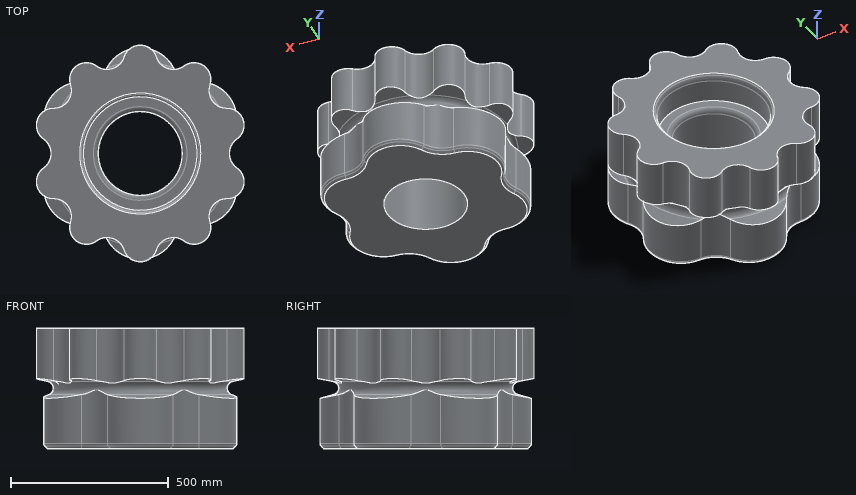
import cadquery as cq
import math

HEIGHT = 381.0
NECK_Z = 192.0

UPPER_LOBES = 10
UPPER_TIP_RADIUS = 343.0
UPPER_LOBE_ROUND = 53.5
UPPER_VALLEY_RADIUS = 282.5
LOWER_LOBES = 6
LOWER_TIP_RADIUS = 335.0
LOWER_LOBE_ROUND = 119.0
LOWER_VALLEY_RADIUS = 276.5
BOTTOM_CHAMFER = 12.0
BOTTOM_ROUND = 12.0

GROOVE_ROUND = 20.5
GROOVE_ROOT_RADIUS = 276.0
GROOVE_TOP_ANGLE = 11.0
GROOVE_BOTTOM_ANGLE = 16.0
CUTTER_CLEARANCE = 34.0
CUTTER_RADIUS = UPPER_TIP_RADIUS + CUTTER_CLEARANCE

BORE_RADIUS = 132.5
BORE_ROUND = 16.0
COUNTERBORE_RADIUS = 180.0
COUNTERBORE_DEPTH = 101.5
RIM_CHAMFER = 5.0
RIM_ROUND = 24.0


def polar(radius, angle):
    return (radius * math.cos(angle), radius * math.sin(angle))


def lobed_prism(lobes, tip_radius, lobe_round, valley_radius, bottom, top):
    """Extrude a ring of lobe arcs joined by tangent valley arcs; one lobe points along +Y."""
    half_pitch = math.pi / lobes
    lobe_center = tip_radius - lobe_round
    along = lobe_center * math.cos(half_pitch)
    across = lobe_center * math.sin(half_pitch)
    gap = valley_radius - along
    valley_round = (gap**2 + across**2 - lobe_round**2) / (2 * (lobe_round - gap))
    valley_center = valley_radius + valley_round
    share = lobe_round / (lobe_round + valley_round)
    tangent_x = along + share * (valley_center - along)
    tangent_y = across * (1 - share)
    tangent_radius = math.hypot(tangent_x, tangent_y)
    tangent_offset = half_pitch - math.atan2(tangent_y, tangent_x)

    first = math.pi / 2
    outline = cq.Workplane("XY").workplane(offset=bottom)
    outline = outline.moveTo(*polar(tangent_radius, first - tangent_offset))
    for index in range(lobes):
        middle = first + 2 * half_pitch * index
        following = middle + 2 * half_pitch
        outline = outline.threePointArc(
            polar(tip_radius, middle),
            polar(tangent_radius, middle + tangent_offset),
        )
        outline = outline.threePointArc(
            polar(valley_radius, middle + half_pitch),
            polar(tangent_radius, following - tangent_offset),
        )
    return outline.close().extrude(top - bottom)


def waist_groove():
    """Revolved cutter: a round root opening outward along two sloping flanks."""
    center_x = GROOVE_ROOT_RADIUS + GROOVE_ROUND
    top_angle = math.radians(GROOVE_TOP_ANGLE)
    bottom_angle = math.radians(GROOVE_BOTTOM_ANGLE)
    top_x = center_x - GROOVE_ROUND * math.sin(top_angle)
    top_z = NECK_Z + GROOVE_ROUND * math.cos(top_angle)
    bottom_x = center_x - GROOVE_ROUND * math.sin(bottom_angle)
    bottom_z = NECK_Z - GROOVE_ROUND * math.cos(bottom_angle)
    outer_top_z = top_z + (CUTTER_RADIUS - top_x) * math.tan(top_angle)
    outer_bottom_z = bottom_z - (CUTTER_RADIUS - bottom_x) * math.tan(bottom_angle)
    return (
        cq.Workplane("XZ")
        .moveTo(CUTTER_RADIUS, outer_top_z)
        .lineTo(top_x, top_z)
        .threePointArc((GROOVE_ROOT_RADIUS, NECK_Z), (bottom_x, bottom_z))
        .lineTo(CUTTER_RADIUS, outer_bottom_z)
        .close()
        .revolve(360, (0, 0, 0), (0, 1, 0))
    )


def stepped_bore():
    """Revolved cutter: through bore and counterbore, with rounded mouths and a chamfered rim."""
    floor_z = HEIGHT - COUNTERBORE_DEPTH
    arc_offset = 1 - math.sqrt(0.5)
    rim_angle = math.radians(45)
    round_center_x = COUNTERBORE_RADIUS + RIM_ROUND
    chamfer_x = round_center_x - RIM_ROUND * math.cos(rim_angle)
    chamfer_z = HEIGHT - RIM_CHAMFER
    round_start_z = chamfer_z - RIM_ROUND * math.sin(rim_angle)
    return (
        cq.Workplane("XZ")
        .lineTo(BORE_RADIUS, 0)
        .lineTo(BORE_RADIUS, floor_z - BORE_ROUND)
        .threePointArc(
            (BORE_RADIUS + BORE_ROUND * arc_offset, floor_z - BORE_ROUND * arc_offset),
            (BORE_RADIUS + BORE_ROUND, floor_z),
        )
        .lineTo(COUNTERBORE_RADIUS, floor_z)
        .lineTo(COUNTERBORE_RADIUS, round_start_z)
        .threePointArc(
            (
                round_center_x - RIM_ROUND * math.cos(rim_angle / 2),
                round_start_z + RIM_ROUND * math.sin(rim_angle / 2),
            ),
            (chamfer_x, chamfer_z),
        )
        .lineTo(chamfer_x + RIM_CHAMFER, HEIGHT)
        .lineTo(0, HEIGHT)
        .close()
        .revolve(360, (0, 0, 0), (0, 1, 0))
    )


upper_knob = lobed_prism(
    UPPER_LOBES, UPPER_TIP_RADIUS, UPPER_LOBE_ROUND, UPPER_VALLEY_RADIUS, NECK_Z, HEIGHT
)
lower_knob = lobed_prism(
    LOWER_LOBES, LOWER_TIP_RADIUS, LOWER_LOBE_ROUND, LOWER_VALLEY_RADIUS, 0, NECK_Z
)
lower_knob = lower_knob.faces("<Z").chamfer(BOTTOM_CHAMFER)
chamfer_edges = cq.selectors.BoxSelector(
    (-CUTTER_RADIUS, -CUTTER_RADIUS, 0.9 * BOTTOM_CHAMFER),
    (CUTTER_RADIUS, CUTTER_RADIUS, 1.1 * BOTTOM_CHAMFER),
)
lower_knob = lower_knob.edges(chamfer_edges).fillet(BOTTOM_ROUND)

result = upper_knob.union(lower_knob).cut(waist_groove()).cut(stepped_bore())